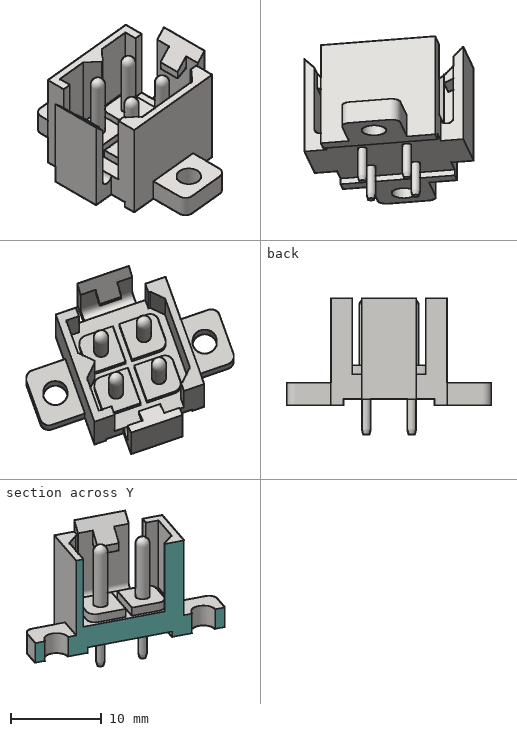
import cadquery as cq


BODY_SIDE = 12.8
BODY_HEIGHT = 11.8
FLOOR_TOP = 3.4
UNDERSIDE_RECESS_WIDTH = 10.0
UNDERSIDE_RECESS_DEPTH = 0.68
WALL_OPENING_WIDTH = 8.08

CAVITY_LENGTH = 11.07
CAVITY_WIDTH = 10.75
CAVITY_CHAMFER = 1.28
KEY_DEPTH = 1.42
KEY_HALF_WIDTH = 1.5

OVERALL_LENGTH = 22.5
EAR_WIDTH = 6.5
EAR_THICKNESS = 2.5
EAR_CORNER_RADIUS = 1.0
EAR_HOLE_DIAMETER = 2.7
EAR_HOLE_OFFSET = 8.7

OVERALL_WIDTH = 17.8
LATCH_WIDTH = 6.03
LATCH_THICKNESS = 1.1
TAB_WIDTH = 2.52
TAB_TIP_HEIGHT = 0.92
TAB_UNDERSIDE_RISE = 0.6

PIN_PITCH = 5.0
BLOCK_SIDE = 4.23
BLOCK_GAP = 0.72
BLOCK_HEIGHT = 1.01
BLOCK_CORNER_RADIUS = 1.0

OVERALL_HEIGHT = 15.0
CONTACT_DIAMETER = 1.6
CONTACT_STRAIGHT_TOP = 10.91
TAIL_DIAMETER = 1.0
TAIL_TIP_DIAMETER = 0.7
TAIL_TAPER_LENGTH = 0.55

BODY_HALF = BODY_SIDE / 2
BLOCK_TOP = FLOOR_TOP + BLOCK_HEIGHT
PIN_BOTTOM = BODY_HEIGHT - OVERALL_HEIGHT
QUADRANTS = [(x_side, y_side) for x_side in (-1, 1) for y_side in (-1, 1)]
PIN_PLACES = [(x_side * PIN_PITCH / 2, y_side * PIN_PITCH / 2) for x_side, y_side in QUADRANTS]


def box_from(bottom, length, width, height):
    """A box centred on the Z axis, standing on the height `bottom`."""
    return cq.Workplane("XY").workplane(offset=bottom).rect(length, width).extrude(height)


def make_ears():
    """One rounded plate that passes under the body and gives both ears."""
    plate = box_from(0, OVERALL_LENGTH, EAR_WIDTH, EAR_THICKNESS)
    plate = plate.edges("|Z").fillet(EAR_CORNER_RADIUS)
    holes = (
        cq.Workplane("XY")
        .pushPoints([(-EAR_HOLE_OFFSET, 0), (EAR_HOLE_OFFSET, 0)])
        .circle(EAR_HOLE_DIAMETER / 2)
        .extrude(EAR_THICKNESS)
    )
    return plate.cut(holes)


def make_cavity():
    """Open space above the floor, chamfered at +X and with a blunt 45 degree V-shaped key at -X."""
    half_length = CAVITY_LENGTH / 2
    half_width = CAVITY_WIDTH / 2
    key_tip = -half_length + KEY_DEPTH
    key_tip_half_width = KEY_HALF_WIDTH - KEY_DEPTH
    outline = [
        (-half_length, -half_width),
        (half_length - CAVITY_CHAMFER, -half_width),
        (half_length, -half_width + CAVITY_CHAMFER),
        (half_length, half_width - CAVITY_CHAMFER),
        (half_length - CAVITY_CHAMFER, half_width),
        (-half_length, half_width),
        (-half_length, KEY_HALF_WIDTH),
        (key_tip, key_tip_half_width),
        (key_tip, -key_tip_half_width),
        (-half_length, -KEY_HALF_WIDTH),
    ]
    depth = BODY_HEIGHT - FLOOR_TOP
    return cq.Workplane("XY").workplane(offset=FLOOR_TOP).polyline(outline).close().extrude(depth)


def make_block(x_side, y_side):
    """A raised block in one quadrant, rounded at its two corners away from the YZ plane."""
    outer_side = ">X" if x_side > 0 else "<X"
    offset = (BLOCK_GAP + BLOCK_SIDE) / 2
    block = box_from(FLOOR_TOP, BLOCK_SIDE, BLOCK_SIDE, BLOCK_HEIGHT)
    block = block.faces(outer_side).edges("|Z").fillet(BLOCK_CORNER_RADIUS)
    return block.translate((x_side * offset, y_side * offset, 0))


def extrude_along_x(profile, width):
    """Extrude a profile of the YZ plane to the given width, centred on X = 0."""
    return profile.close().extrude(width / 2, both=True)


def make_latch():
    """The latch on the +Y side: a foot, a spring wall with a 45 degree top, and a tab."""
    outer_y = OVERALL_WIDTH / 2
    inner_y = outer_y - LATCH_THICKNESS
    wall_top = BODY_HEIGHT - LATCH_THICKNESS
    tab_tip_top = BODY_HEIGHT - (outer_y - BODY_HALF)
    tab_tip_bottom = tab_tip_top - TAB_TIP_HEIGHT
    trough_radius = (inner_y - BODY_HALF) / 2
    wall = extrude_along_x(
        cq.Workplane("YZ")
        .moveTo(BODY_HALF, UNDERSIDE_RECESS_DEPTH)
        .lineTo(outer_y, UNDERSIDE_RECESS_DEPTH)
        .lineTo(outer_y, BODY_HEIGHT)
        .lineTo(inner_y, wall_top)
        .lineTo(inner_y, FLOOR_TOP)
        .threePointArc((inner_y - trough_radius, FLOOR_TOP - trough_radius), (BODY_HALF, FLOOR_TOP)),
        LATCH_WIDTH,
    )
    tab = extrude_along_x(
        cq.Workplane("YZ")
        .moveTo(inner_y, wall_top)
        .lineTo(BODY_HALF, tab_tip_top)
        .lineTo(BODY_HALF, tab_tip_bottom)
        .lineTo(inner_y, tab_tip_bottom + TAB_UNDERSIDE_RISE),
        TAB_WIDTH,
    )
    return wall.union(tab)


def make_housing():
    """The whole housing: body, ears, cavity, latches, pin blocks and pin holes."""
    wall_height = BODY_HEIGHT - FLOOR_TOP
    housing = box_from(0, BODY_SIDE, BODY_SIDE, BODY_HEIGHT).union(make_ears())
    housing = housing.cut(make_cavity())
    housing = housing.cut(box_from(FLOOR_TOP, WALL_OPENING_WIDTH, BODY_SIDE, wall_height))
    housing = housing.cut(box_from(0, UNDERSIDE_RECESS_WIDTH, BODY_SIDE, UNDERSIDE_RECESS_DEPTH))
    latch = make_latch()
    housing = housing.union(latch).union(latch.mirror("XZ"))
    for x_side, y_side in QUADRANTS:
        housing = housing.union(make_block(x_side, y_side))
    pin_holes = cq.Workplane("XY").pushPoints(PIN_PLACES).circle(TAIL_DIAMETER / 2).extrude(BLOCK_TOP)
    return housing.cut(pin_holes)


def make_pin(x, y):
    """A round pin: domed contact standing on its block, thinner tail with a tapered tip."""
    contact_radius = CONTACT_DIAMETER / 2
    tail_radius = TAIL_DIAMETER / 2
    dome_side = contact_radius * 0.5**0.5
    half_profile = (
        cq.Workplane("XZ")
        .moveTo(0, PIN_BOTTOM)
        .lineTo(TAIL_TIP_DIAMETER / 2, PIN_BOTTOM)
        .lineTo(tail_radius, PIN_BOTTOM + TAIL_TAPER_LENGTH)
        .lineTo(tail_radius, BLOCK_TOP)
        .lineTo(contact_radius, BLOCK_TOP)
        .lineTo(contact_radius, CONTACT_STRAIGHT_TOP)
        .threePointArc(
            (dome_side, CONTACT_STRAIGHT_TOP + dome_side),
            (0, CONTACT_STRAIGHT_TOP + contact_radius),
        )
        .close()
    )
    return half_profile.revolve(360, (0, 0), (0, 1)).translate((x, y, 0))


housing = make_housing()
pins = [make_pin(x, y) for x, y in PIN_PLACES]
result = cq.Compound.makeCompound([housing.val(), *[pin.val() for pin in pins]])